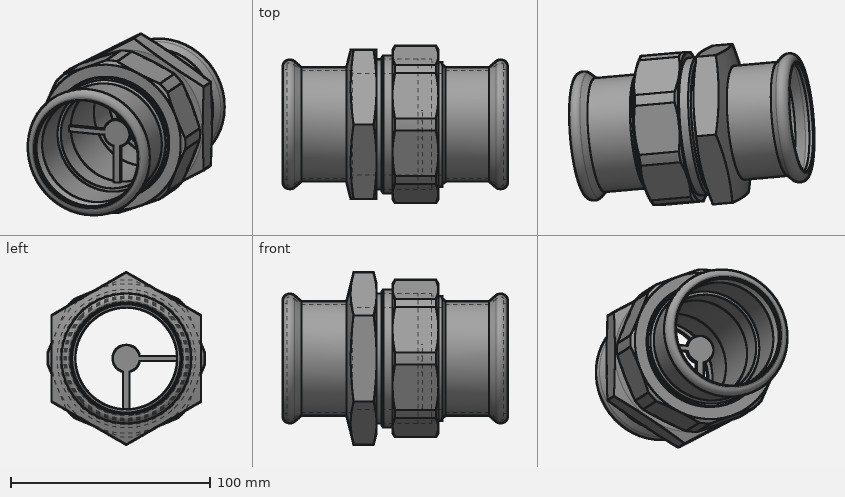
import cadquery as cq
import math

LENGTH = 113.0
LEFT_END = -LENGTH / 2

TUBE_R = 57.5 / 2
BEAD_CENTRE_R = 57.7 / 2
SOCKET_R = 54.4 / 2
LIP_R = 55.0 / 2
BORE_R = 51.0 / 2
SOCKET_DEPTH = 35.1
BEAD_CREST_R = 65.1 / 2
BEAD_R = BEAD_CREST_R - BEAD_CENTRE_R
BEAD_CAVITY_R = BEAD_R - (TUBE_R - SOCKET_R)
BEAD_RUNOUT = 9.4
LIP_LENGTH = 2.3
LIP_CHAMFER = 0.5

HEX_CORNERS = 86.6
HEX_START = LEFT_END + 32.0
HEX_END = LEFT_END + 47.1
HEX_FLAT_R = HEX_CORNERS / 2 * math.cos(math.pi / 6)
HEX_FRONT_RISE = 3.6
HEX_BACK_RISE = 1.5

THREAD_R = 65.4 / 2
JOINT_X = LEFT_END + 67.8
FLANGE_THICKNESS = 6.8
FLANGE_END = JOINT_X + FLANGE_THICKNESS

NUT_R = 79.0 / 2
NUT_FLAT_R = 37.5
NUT_START = LEFT_END + 55.1
NUT_END = LEFT_END + 78.1
NUT_CHAMFER = 1.2
SKIRT_R = 69.4 / 2
SKIRT_TIP_R = 66.5 / 2
SKIRT_START = LEFT_END + 49.5
SKIRT_CHAMFER = 1.0

COLLAR_R = 62.6 / 2
COLLAR_END = LEFT_END + 80.1
COLLAR_STEP_R = 30.1
COLLAR_CONE = 1.7
STOP_R = 6.9
STOP_THICKNESS = 2.3
SIDE_SPOKE_WIDTH = 2.7
LOWER_SPOKE_WIDTH = 3.5
SPOKE_EMBED = 1.1


def revolve_x(profile):
    return profile.close().revolve(360, (0, 0, 0), (1, 0, 0))


def cylinder_x(radius, start, end):
    return cq.Workplane("YZ", origin=(start, 0, 0)).circle(radius).extrude(end - start)


def prism_x(sides, flat_radius, start, end):
    """Regular prism along X with a corner at +Z."""
    corner_diameter = 2 * flat_radius / math.cos(math.pi / sides)
    sketch = cq.Workplane("YZ", origin=(start, 0, 0)).transformed(rotate=(0, 0, 90))
    return sketch.polygon(sides, corner_diameter).extrude(end - start)


def bead_points(arc_radius, runout_r):
    """Crown and tangent point of a bead arc whose cone runs out at radius runout_r."""
    run = BEAD_RUNOUT - BEAD_R
    drop = runout_r - BEAD_CENTRE_R
    angle = math.atan2(drop, run) + math.acos(arc_radius / math.hypot(run, drop))
    centre_x = LEFT_END + BEAD_R
    crown = (centre_x, BEAD_CENTRE_R + arc_radius)
    tangent = (centre_x + arc_radius * math.cos(angle), BEAD_CENTRE_R + arc_radius * math.sin(angle))
    return crown, tangent


def press_socket(inner_end):
    """Hollow tube from the left end to inner_end, with a rolled bead at its mouth."""
    outer_crown, outer_tangent = bead_points(BEAD_R, TUBE_R)
    cavity_crown, cavity_tangent = bead_points(BEAD_CAVITY_R, SOCKET_R)
    lip_end = LEFT_END + LIP_LENGTH
    cavity_r = BEAD_CENTRE_R + math.sqrt(BEAD_CAVITY_R**2 - (BEAD_R - LIP_LENGTH) ** 2)
    shoulder = LEFT_END + SOCKET_DEPTH
    runout = LEFT_END + BEAD_RUNOUT
    return revolve_x(
        cq.Workplane("XY")
        .moveTo(LEFT_END, LIP_R + LIP_CHAMFER)
        .lineTo(LEFT_END, BEAD_CENTRE_R)
        .threePointArc(outer_crown, outer_tangent)
        .lineTo(runout, TUBE_R)
        .lineTo(inner_end, TUBE_R)
        .lineTo(inner_end, BORE_R)
        .lineTo(shoulder, BORE_R)
        .lineTo(shoulder, SOCKET_R)
        .lineTo(runout, SOCKET_R)
        .lineTo(*cavity_tangent)
        .threePointArc(cavity_crown, (lip_end, cavity_r))
        .lineTo(lip_end, LIP_R)
        .lineTo(LEFT_END + LIP_CHAMFER, LIP_R)
    )


def make_hexagon():
    """Hexagon with a shallow front cone and chamfered rear corners."""
    corner_r = HEX_CORNERS / 2
    turned_blank = revolve_x(
        cq.Workplane("XY")
        .moveTo(HEX_START, 0)
        .lineTo(HEX_START, TUBE_R)
        .lineTo(HEX_START + HEX_FRONT_RISE, corner_r)
        .lineTo(HEX_END - HEX_BACK_RISE, corner_r)
        .lineTo(HEX_END, HEX_FLAT_R)
        .lineTo(HEX_END, 0)
    )
    return prism_x(6, HEX_FLAT_R, HEX_START, HEX_END).intersect(turned_blank)


def make_left_fitting():
    spigot = cylinder_x(THREAD_R, HEX_END, JOINT_X)
    body = make_hexagon().union(spigot).cut(cylinder_x(BORE_R, HEX_START, JOINT_X))
    socket_space = cylinder_x(SOCKET_R, LEFT_END, LEFT_END + SOCKET_DEPTH)
    return body.cut(socket_space).union(press_socket(JOINT_X))


def make_stop():
    """Centre disc carried by one spoke toward -Y and one toward -Z."""
    spoke_length = BORE_R + SPOKE_EMBED
    middle_x = JOINT_X + STOP_THICKNESS / 2
    disc = cylinder_x(STOP_R, JOINT_X, JOINT_X + STOP_THICKNESS)
    side_spoke = cq.Workplane("XY").box(STOP_THICKNESS, spoke_length, SIDE_SPOKE_WIDTH)
    side_spoke = side_spoke.translate((middle_x, -spoke_length / 2, 0))
    lower_spoke = cq.Workplane("XY").box(STOP_THICKNESS, LOWER_SPOKE_WIDTH, spoke_length)
    lower_spoke = lower_spoke.translate((middle_x, 0, -spoke_length / 2))
    return disc.union(side_spoke).union(lower_spoke)


def make_right_fitting():
    socket = press_socket(-JOINT_X).mirror("YZ")
    collar = revolve_x(
        cq.Workplane("XY")
        .moveTo(JOINT_X, BORE_R)
        .lineTo(JOINT_X, THREAD_R)
        .lineTo(FLANGE_END, THREAD_R)
        .lineTo(FLANGE_END, COLLAR_R)
        .lineTo(COLLAR_END, COLLAR_R)
        .lineTo(COLLAR_END, COLLAR_STEP_R)
        .lineTo(COLLAR_END + COLLAR_CONE, TUBE_R)
        .lineTo(COLLAR_END + COLLAR_CONE, BORE_R)
    )
    return socket.union(collar).union(make_stop())


def make_nut():
    """Octagon with turned corners, a round skirt, and a bore stepped to hold the flange."""
    turned_blank = revolve_x(
        cq.Workplane("XY")
        .moveTo(NUT_START, 0)
        .lineTo(NUT_START, NUT_FLAT_R)
        .lineTo(NUT_START + NUT_CHAMFER, NUT_R)
        .lineTo(NUT_END - NUT_CHAMFER, NUT_R)
        .lineTo(NUT_END, NUT_FLAT_R)
        .lineTo(NUT_END, 0)
    )
    octagon = prism_x(8, NUT_FLAT_R, NUT_START, NUT_END).intersect(turned_blank)
    skirt = revolve_x(
        cq.Workplane("XY")
        .moveTo(SKIRT_START, 0)
        .lineTo(SKIRT_START, SKIRT_TIP_R)
        .lineTo(SKIRT_START + SKIRT_CHAMFER, SKIRT_R)
        .lineTo(NUT_START, SKIRT_R)
        .lineTo(NUT_START, 0)
    )
    thread_bore = cylinder_x(THREAD_R, SKIRT_START, FLANGE_END)
    collar_bore = cylinder_x(COLLAR_R, FLANGE_END, NUT_END)
    return octagon.union(skirt).cut(thread_bore).cut(collar_bore)


left_fitting = make_left_fitting()
right_fitting = make_right_fitting()
nut = make_nut()

result = cq.Compound.makeCompound([left_fitting.val(), right_fitting.val(), nut.val()])